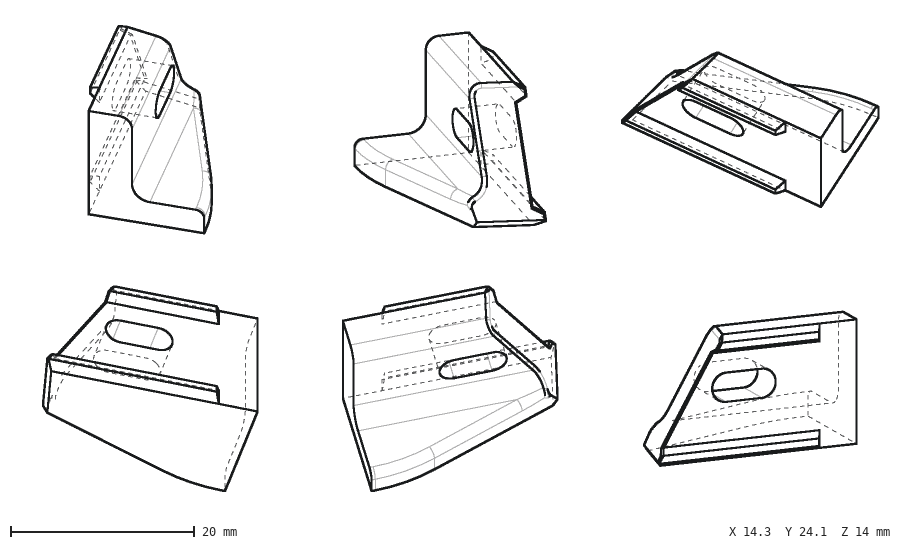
import cadquery as cq
import math

height = 14.0
width = 14.25
rib_depth = 1.2
wall_back = rib_depth
wall_front = 6.12
foot_thickness = 3.0
top_round = 1.5
inner_round = 2.0
foot_round = 0.99
stock_length = 28.9

rib_base = 2.0
rib_bevel = 0.58
rib_start = 4.4

side_straight = 0.4
arc_end_y = 7.35
taper_angle = math.radians(20.2)
taper_end_y = 26.5

end_y = 24.57
end_lean = 0.583
end_skew = 0.2136

back_chamfer = 0.2
front_chamfer_side = 0.205
front_chamfer_end = 0.5
bottom_cut_y = 23.6
bottom_cut_lean = -0.7

slot_length = 7.55
slot_width = 3.28
slot_y = 13.4
slot_z = 8.0

margin = 0.25
small_margin = 0.02


def make_bracket():
    """L profile extruded along Y, with its upper and inner corners rounded."""
    return (
        cq.Workplane("XZ")
        .moveTo(wall_back, 0)
        .lineTo(width, 0)
        .lineTo(width, foot_thickness)
        .lineTo(wall_front + inner_round, foot_thickness)
        .radiusArc((wall_front, foot_thickness + inner_round), inner_round)
        .lineTo(wall_front, height - top_round)
        .radiusArc((wall_front - top_round, height), -top_round)
        .lineTo(wall_back, height)
        .close()
        .extrude(-stock_length)
    )


def make_plan():
    """Plan outline of the foot as a tall block."""
    radius = (arc_end_y - side_straight) / math.sin(taper_angle)
    arc_end_x = width - radius * (1 - math.cos(taper_angle))
    taper_end_x = arc_end_x - (taper_end_y - arc_end_y) * math.tan(taper_angle)
    half = taper_angle / 2
    arc_middle = (
        width - radius * (1 - math.cos(half)),
        side_straight + radius * math.sin(half),
    )

    return (
        cq.Workplane("XY")
        .lineTo(width, 0)
        .lineTo(width, side_straight)
        .threePointArc(arc_middle, (arc_end_x, arc_end_y))
        .lineTo(taper_end_x, taper_end_y)
        .lineTo(0, taper_end_y)
        .close()
        .extrude(height)
    )


def make_rib(base_z):
    """Bevelled rib on the back of the wall, tapered on its long sides and front end."""
    half_base = rib_base / 2
    profile = (
        cq.Workplane("XZ", origin=(0, rib_start, base_z + half_base))
        .moveTo(wall_back, -half_base)
        .lineTo(0, rib_bevel - half_base)
        .lineTo(0, half_base - rib_bevel)
        .lineTo(wall_back, half_base)
        .close()
        .extrude(-stock_length)
    )
    front_bevel = (
        cq.Workplane("XY")
        .moveTo(wall_back, rib_start)
        .lineTo(0, rib_start + rib_bevel)
        .lineTo(0, rib_start)
        .close()
        .extrude(height)
    )
    return profile.cut(front_bevel)


def round_foot(body):
    """Round the foot's outer upper edge, which runs up onto the inner round."""
    upper_edges = cq.selectors.BoxSelector(
        (wall_front + inner_round / 2, small_margin, foot_thickness - margin),
        (width + margin, stock_length, foot_thickness + inner_round / 2),
    )
    return body.edges(upper_edges).edges("not(|Y)").fillet(foot_round)


def beyond_end(plane_y, lean):
    """Half-space past an end plane that crosses the Y axis at plane_y."""
    plane = cq.Plane(
        origin=(0, plane_y, 0),
        xDir=(1, -end_skew, 0),
        normal=(end_skew, 1, lean),
    )
    return cq.Workplane(plane).rect(4 * stock_length, 4 * stock_length).extrude(stock_length)


def end_edges(body, low_corner, high_corner):
    """Edges of the slanted end face whose centres lie in the given box."""
    end_normal = cq.Vector(end_skew, 1, end_lean)
    end_face = body.faces(cq.selectors.ParallelDirSelector(end_normal))
    return end_face.edges(cq.selectors.BoxSelector(low_corner, high_corner))


def chamfer_end(body):
    """Break the front and top edges of the end face, then those along the wall back and ribs."""
    front_low = (wall_back + top_round / 2, 0, foot_thickness)
    front_high = (width, stock_length, height + margin)
    body = end_edges(body, front_low, front_high).chamfer(front_chamfer_side, front_chamfer_end)
    back_low = (-margin, 0, rib_bevel + small_margin)
    back_high = (wall_back + small_margin, stock_length, height + margin)
    return end_edges(body, back_low, back_high).chamfer(back_chamfer)


def make_slot():
    return (
        cq.Workplane("YZ", origin=(0, slot_y, slot_z))
        .slot2D(slot_length, slot_width)
        .extrude(width)
    )


bracket = make_bracket()
for base_z in (0, height - rib_base):
    bracket = bracket.union(make_rib(base_z))
bracket = bracket.cut(beyond_end(end_y, end_lean))
bracket = bracket.cut(beyond_end(bottom_cut_y, bottom_cut_lean))
bracket = chamfer_end(bracket)
bracket = round_foot(bracket.intersect(make_plan()))
result = bracket.cut(make_slot())